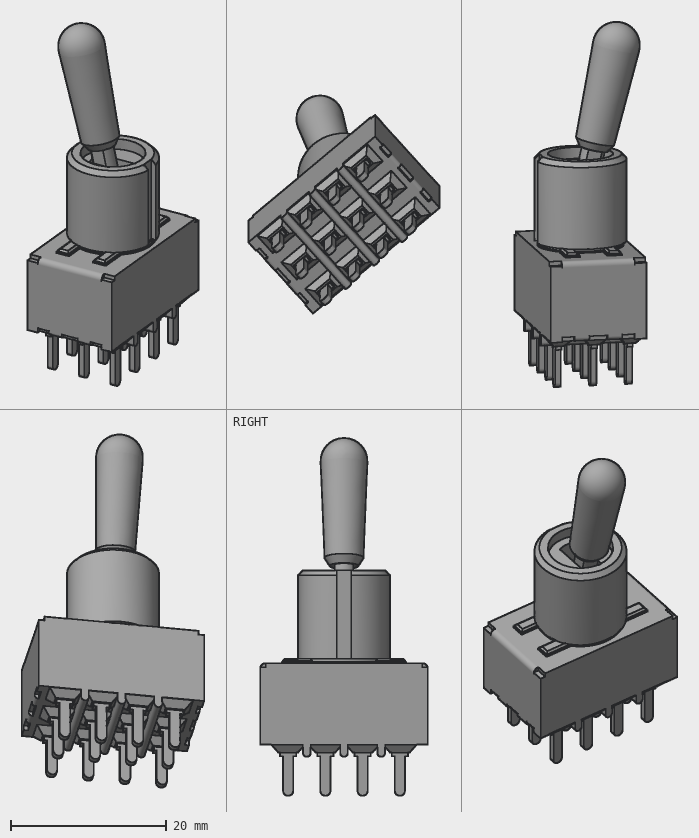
import cadquery as cq
import math


overall_x = 14.1
overall_z = 46.05

body_x = 12.65
body_y = 21.6
body_bottom = 6.6
body_top = 17.1
sheet = 0.55
bend_radius = 0.75
corner_step_y = 0.75
flap_width = 9.6
flap_bottom = 7.25
tab_width = 1.95
tab_offset = 2.15
tab_bend_radius = 0.5

rail_offset = 2.75
foot_width = 1.95
foot_length = 16.0
foot_height = 0.2
foot_bevel = 0.1
rail_bevel = 0.28

ring_foot_radius = 5.57
bushing_radius = 5.95
bushing_bottom = 17.65
bushing_top = 29.02
bushing_chamfer = 0.65
bore_diameter = 8.4
bore_depth = 1.47
slot_diameter = 6.0
slot_width = 2.65
keyway_width = 1.85
keyway_floor_x = 5.2

tilt = 12.7
dome_radius = 3.05
ball_radius = 3.22
dome_rim_drop = 0.25
grip_length = 12.7
grip_base_radius = 2.55
grip_end_radius = 1.85
grip_end_height = 1.05
neck_radius = 1.5
neck_width = 2.45

pin_pitch_x = 4.7
pin_pitch_y = 4.8
pin_columns = 3
pin_rows = 4
pin_x = 0.8
pin_y = 1.35
shoulder_y = 2.1
shoulder_bottom = 5.05
seal_top_x = 3.05
seal_top_y = 4.38
seal_bottom_x = 1.4
seal_bottom_y = 2.55
seal_height = 1.0
rib_width = 1.0
rib_bottom = 5.0

dome_x = -(overall_x - body_x / 2) + dome_radius
dome_z = overall_z - dome_radius
pivot_z = dome_z + dome_x / math.tan(math.radians(tilt))
dome_distance = -dome_x / math.sin(math.radians(tilt))


def block(size_x, size_y, z_low, z_high, x=0.0, y=0.0):
    """Upright box centred on (x, y) between two heights."""
    return cq.Workplane("XY").box(
        size_x, size_y, z_high - z_low, centered=(True, True, False)
    ).translate((x, y, z_low))


def cylinder(radius, z_low, z_high):
    """Upright cylinder on the Z axis between two heights."""
    return cq.Workplane("XY").workplane(offset=z_low).circle(radius).extrude(z_high - z_low)


def housing():
    """Core with four lower corner columns and the bent cap flaps between them."""
    columns = block(body_x, body_y, body_bottom, body_top - sheet).cut(
        block(flap_width, body_y, body_bottom, body_top)
    )
    flaps = block(flap_width, body_y, body_bottom, body_top).edges(">Z and |X").fillet(bend_radius)
    core = block(body_x, body_y - 2 * corner_step_y, body_bottom, body_top)
    body = columns.union(flaps).union(core)

    for side, outer_edge in ((-1, "<Y"), (1, ">Y")):
        flap_y = side * (body_y - sheet) / 2
        body = body.cut(block(flap_width, sheet, body_bottom, flap_bottom, y=flap_y))
        for x in (-tab_offset, tab_offset):
            tab = block(tab_width, sheet, body_bottom, flap_bottom, x, flap_y)
            body = body.union(tab.edges("<Z and |X").edges(outer_edge).fillet(tab_bend_radius))
    return body


def rails():
    """Two bevelled rails on bevelled feet, running along Y under the bushing."""
    pads = cq.Workplane("XY")
    for x in (-rail_offset, rail_offset):
        foot = block(foot_width, foot_length, body_top, body_top + foot_height, x)
        rail = block(
            foot_width - 2 * foot_bevel, foot_length - 2 * foot_bevel, body_top, bushing_bottom, x
        )
        pads = pads.add(foot.faces(">Z").chamfer(foot_bevel).union(rail.faces(">Z").chamfer(rail_bevel)))
    return pads.combine()


def base_ring():
    """Low ring under the bushing, widened by a bevelled foot."""
    foot = cylinder(ring_foot_radius, body_top, body_top + foot_height).faces(">Z").chamfer(foot_bevel)
    return foot.union(cylinder(ring_foot_radius - foot_bevel, body_top, bushing_bottom))


def bushing():
    """Chamfered bushing with a shallow bore, a lever slot and a keyway on +X."""
    sleeve = cylinder(bushing_radius, bushing_bottom, bushing_top).faces(">Z").chamfer(bushing_chamfer)
    bore_floor = bushing_top - bore_depth
    sleeve = sleeve.cut(cylinder(bore_diameter / 2, bore_floor, bushing_top))
    slot = cylinder(slot_diameter / 2, pivot_z, bore_floor).intersect(
        block(slot_diameter, slot_width, pivot_z, bore_floor)
    )
    keyway_depth = bushing_radius - keyway_floor_x
    keyway = block(
        keyway_depth, keyway_width, bushing_bottom, bushing_top, keyway_floor_x + keyway_depth / 2
    )
    return sleeve.cut(slot).cut(keyway)


def lever():
    """Pivot ball, flat-sided neck and tapered grip with a domed end, tilted towards -X."""
    grip_start = dome_distance - grip_length
    grip_end = grip_start - grip_end_height
    rim_radius = math.sqrt(dome_radius**2 - dome_rim_drop**2)
    grip = (
        cq.Workplane("XZ")
        .moveTo(0, grip_end)
        .lineTo(grip_end_radius, grip_end)
        .lineTo(grip_base_radius, grip_start)
        .lineTo(rim_radius, dome_distance - dome_rim_drop)
        .threePointArc((dome_radius, dome_distance), (0, dome_distance + dome_radius))
        .close()
        .revolve(360, (0, 0, 0), (0, 1, 0))
    )
    neck = cylinder(neck_radius, 0, grip_start).intersect(
        block(2 * neck_radius, neck_width, 0, grip_start)
    )
    ball = cq.Workplane("XY").sphere(ball_radius)
    upright = ball.union(neck).union(grip)
    return upright.rotate((0, 0, 0), (0, 1, 0), -tilt).translate((0, 0, pivot_z))


def terminal():
    """One pin with a round tip and shoulder, coming out of a tapered seal."""
    pin = block(pin_x, pin_y, pin_y / 2, body_bottom)
    tip = cq.Workplane("YZ").center(0, pin_y / 2).circle(pin_y / 2).extrude(pin_x / 2, both=True)
    shoulder = block(pin_x, shoulder_y, shoulder_bottom, body_bottom)
    seal = (
        cq.Workplane("XY")
        .workplane(offset=body_bottom - seal_height)
        .rect(seal_bottom_x, seal_bottom_y)
        .workplane(offset=seal_height)
        .rect(seal_top_x, seal_top_y)
        .loft(ruled=True)
    )
    return pin.union(tip).union(shoulder).union(seal)


def rib():
    """Full-width rib with a rounded lower edge."""
    radius = rib_width / 2
    web = block(body_x, rib_width, rib_bottom + radius, body_bottom)
    edge = cq.Workplane("YZ").center(0, rib_bottom + radius).circle(radius).extrude(body_x / 2, both=True)
    return web.union(edge)


result = housing().union(rails()).union(base_ring()).union(bushing()).union(lever())

for row in range(pin_rows):
    y = (row - (pin_rows - 1) / 2) * pin_pitch_y
    for column in range(pin_columns):
        x = (column - (pin_columns - 1) / 2) * pin_pitch_x
        result = result.union(terminal().translate((x, y, 0)))

for gap in range(pin_rows - 1):
    y = (gap - (pin_rows - 2) / 2) * pin_pitch_y
    result = result.union(rib().translate((0, y, 0)))